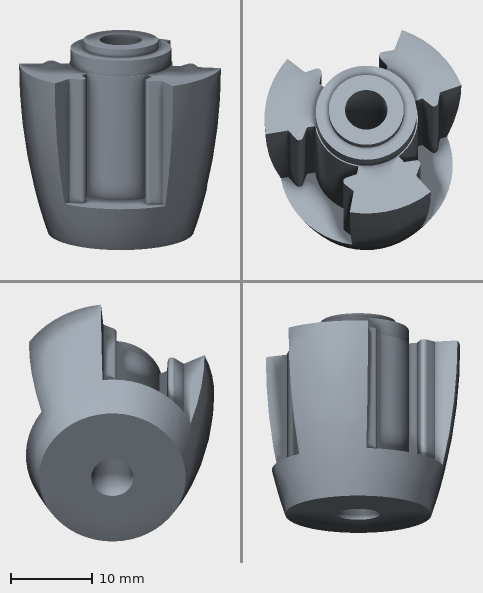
import cadquery as cq
import math

ledge_z = 5.63
arm_top_z = 21.3
collar_top_z = 23.32
total_height = 24.3

bottom_radius = 9.0
arm_top_radius = 12.5
core_radius = 6.35
collar_radius = 12.4 / 2
spigot_radius = 9.2 / 2
bore_radius = 5.2 / 2

arm_count = 3
first_arm_angle = 115.0
arm_sector_angle = 50.0
side_setback = 0.136

ridge_center_radius = 8.52
ridge_half_base = 1.152
ridge_half_angle = 30.0
ridge_tip_round = 0.5


def make_envelope():
    """Barrel whose single arc profile is vertical at the arm top."""
    arc_inset = arm_top_radius - bottom_radius
    arc_radius = (arm_top_z**2 + arc_inset**2) / (2 * arc_inset)
    middle_z = arm_top_z / 2
    middle_radius = arm_top_radius - arc_radius + math.sqrt(arc_radius**2 - middle_z**2)
    return (
        cq.Workplane("XZ")
        .lineTo(bottom_radius, 0)
        .threePointArc((middle_radius, middle_z), (arm_top_radius, arm_top_z))
        .lineTo(0, arm_top_z)
        .close()
        .revolve(360, (0, 0, 0), (0, 1, 0))
    )


def make_arm_prism():
    """Oversized arm along +X with a ridge on both side faces."""
    half_angle = math.radians(arm_sector_angle / 2)
    reach = 2 * arm_top_radius
    ridge_height = ridge_half_base / math.tan(math.radians(ridge_half_angle))

    def side_point(along, outward):
        """Point at a distance along the upper side face and out from it."""
        offset = outward - side_setback
        x = along * math.cos(half_angle) - offset * math.sin(half_angle)
        y = along * math.sin(half_angle) + offset * math.cos(half_angle)
        return x, y

    apex_x = side_setback / math.sin(half_angle)
    ridge_tip = side_point(ridge_center_radius, ridge_height)
    upper_side = [
        side_point(ridge_center_radius - ridge_half_base, 0),
        ridge_tip,
        side_point(ridge_center_radius + ridge_half_base, 0),
        side_point(reach, 0),
    ]
    lower_side = [(x, -y) for x, y in reversed(upper_side)]
    prism = (
        cq.Workplane("XY")
        .workplane(offset=ledge_z)
        .polyline([(apex_x, 0)] + upper_side + lower_side)
        .close()
        .extrude(arm_top_z - ledge_z)
    )
    for tip_y in (ridge_tip[1], -ridge_tip[1]):
        tip_edge = cq.selectors.NearestToPointSelector((ridge_tip[0], tip_y, (ledge_z + arm_top_z) / 2))
        prism = prism.edges("|Z").edges(tip_edge).fillet(ridge_tip_round)
    return prism


def make_cylinder(radius, top_z):
    return cq.Workplane("XY").circle(radius).extrude(top_z)


kept = make_cylinder(2 * arm_top_radius, ledge_z).union(make_cylinder(core_radius, arm_top_z))
arm_prism = make_arm_prism()
for index in range(arm_count):
    arm_angle = first_arm_angle + index * 360 / arm_count
    kept = kept.union(arm_prism.rotate((0, 0, 0), (0, 0, 1), arm_angle))
body = make_envelope().intersect(kept)

body = body.union(make_cylinder(collar_radius, collar_top_z))
body = body.union(make_cylinder(spigot_radius, total_height))
result = body.cut(make_cylinder(bore_radius, total_height))